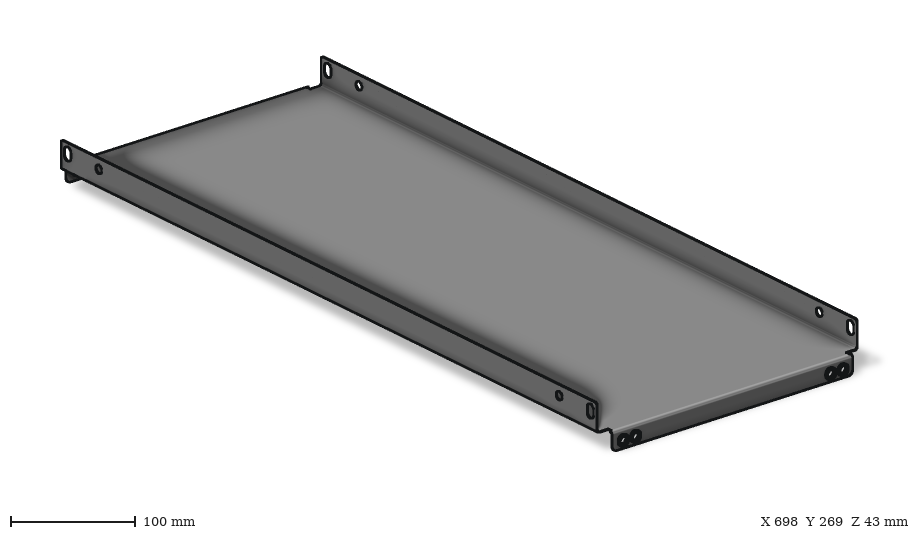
import cadquery as cq

length = 698.0
width = 269.0
height = 43.0

sheet = 1.0
inner_bend = 2.0
outer_bend = inner_bend + sheet
side_corner_radius = 3.0
end_corner_radius = 5.0

collar_height = 1.5
body_length = length - collar_height
end_drop = 17.0
side_setback = 7.0
end_setback = 10.5
relief_depth = 1.5
side_length = body_length - 2 * side_setback
end_width = width - 2 * end_setback
panel_top = end_drop + sheet
side_height = height - end_drop

side_hole_z = 33.5
slot_inset = 8.5
slot_width = 8.5
slot_height = 12.5
side_hole_inset = 48.0
side_hole_diameter = 8.0

end_hole_z = 8.0
end_hole_offsets = (100.5, 113.0)
end_hole_diameter = 8.0
collar_diameter = 10.5
collar_bore = 7.0


def bent_strip(plane, span, leg, depth, bend_edges):
    """Channel profile: a flat web on the plane's X axis with two legs of one height."""
    outer = cq.Workplane(plane).rect(span, 2 * leg).extrude(depth / 2, both=True)
    inner = cq.Workplane(plane).rect(span - 2 * sheet, 2 * (leg - sheet)).extrude(depth / 2, both=True)
    outer = outer.edges(bend_edges).fillet(outer_bend)
    inner = inner.edges(bend_edges).fillet(inner_bend)
    lower_half = cq.Workplane(plane).center(0, -leg / 2).rect(span, leg).extrude(depth / 2, both=True)
    return outer.cut(inner).intersect(lower_half)


def make_side_channel():
    """Panel with the upright flanges along both long sides."""
    channel = bent_strip("YZ", width, side_height, side_length, "|X")
    channel = channel.translate((0, 0, height))
    return channel.edges("|Y and >Z").fillet(side_corner_radius)


def make_end_channel():
    """Panel with the downward flanges at both ends."""
    channel = bent_strip("XZ", body_length, panel_top, end_width, "|Y")
    channel = channel.rotate((0, 0, 0), (1, 0, 0), 180)
    return channel.edges("|X and <Z").fillet(end_corner_radius)


def corner_reliefs():
    """Square bend reliefs beside the ends of the panel, between both kinds of flange."""
    relief_length = side_setback - outer_bend
    relief_x = side_length / 2 + relief_length / 2
    relief_y = end_width / 2 - relief_depth / 2
    plane = cq.Workplane("XY", origin=(0, 0, end_drop))
    reliefs = plane.rect(2 * relief_x, 2 * relief_y, forConstruction=True)
    return reliefs.vertices().rect(relief_length, relief_depth).extrude(sheet)


def side_hole_cutters():
    """Upright slots and round holes passing through both side flanges."""
    slot_x = side_length / 2 - slot_inset
    hole_x = side_length / 2 - side_hole_inset
    plane = cq.Workplane("XZ", origin=(0, 0, side_hole_z))
    slots = plane.pushPoints([(-slot_x, 0), (slot_x, 0)]).slot2D(slot_height, slot_width, 90)
    slots = slots.extrude(width, both=True)
    plane = cq.Workplane("XZ", origin=(0, 0, side_hole_z))
    holes = plane.pushPoints([(-hole_x, 0), (hole_x, 0)]).circle(side_hole_diameter / 2)
    return slots.union(holes.extrude(width, both=True))


def end_cylinders(x_start, diameter, depth):
    """Cylinders along X at the four hole places of an end flange."""
    places = [(side * offset, end_hole_z) for side in (-1, 1) for offset in end_hole_offsets]
    plane = cq.Workplane("YZ", origin=(x_start, 0, 0))
    return plane.pushPoints(places).circle(diameter / 2).extrude(depth)


end_face = body_length / 2
collar_depth = sheet + collar_height

part = make_side_channel().union(make_end_channel())
part = part.cut(corner_reliefs())
part = part.cut(side_hole_cutters())
part = part.cut(end_cylinders(-end_face, end_hole_diameter, sheet))

part = part.union(end_cylinders(end_face - sheet, collar_diameter, collar_depth))
part = part.cut(end_cylinders(end_face - sheet, collar_bore, collar_depth))

result = part.translate((-collar_height / 2, 0, 0))